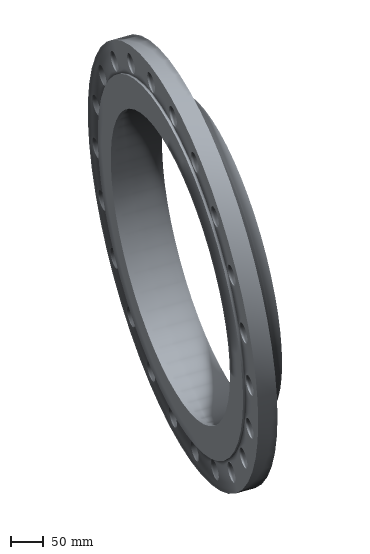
import cadquery as cq

outer_diameter = 715.0
total_length = 84.0
bore_diameter = 500.0

face_diameter = 610.0
face_height = 4.0
plate_back = 36.0

hub_base_diameter = 542.0
neck_diameter = 507.0
neck_length = 20.0
hub_end = total_length - neck_length
hub_base_fillet = 9.0
neck_fillet = 15.0

edge_tolerance = 1.0

bolt_circle_diameter = 650.0
bolt_hole_diameter = 33.0
bolt_count = 22


def flange_body():
    """Revolve the radial half-section about the Y axis."""
    section = [
        (bore_diameter / 2, 0),
        (face_diameter / 2, 0),
        (face_diameter / 2, face_height),
        (outer_diameter / 2, face_height),
        (outer_diameter / 2, plate_back),
        (hub_base_diameter / 2, plate_back),
        (neck_diameter / 2, hub_end),
        (neck_diameter / 2, total_length),
        (bore_diameter / 2, total_length),
    ]
    return cq.Workplane("XY").polyline(section).close().revolve(360, (0, 0, 0), (0, 1, 0))


def fillet_circle(body, diameter, position, radius):
    """Round the circular edge of the given diameter at a position along Y."""
    reach = diameter / 2 + edge_tolerance
    circle = cq.selectors.BoxSelector(
        (-reach, position - edge_tolerance, -reach),
        (reach, position + edge_tolerance, reach),
        boundingbox=True,
    )
    return body.edges(circle).fillet(radius)


def bolt_holes():
    """Cylinders through the plate, evenly spaced on the bolt circle."""
    return (
        cq.Workplane("XZ")
        .polarArray(bolt_circle_diameter / 2, 90, 360, bolt_count)
        .circle(bolt_hole_diameter / 2)
        .extrude(-total_length)
    )


body = flange_body()
body = fillet_circle(body, hub_base_diameter, plate_back, hub_base_fillet)
body = fillet_circle(body, neck_diameter, hub_end, neck_fillet)
result = body.cut(bolt_holes())